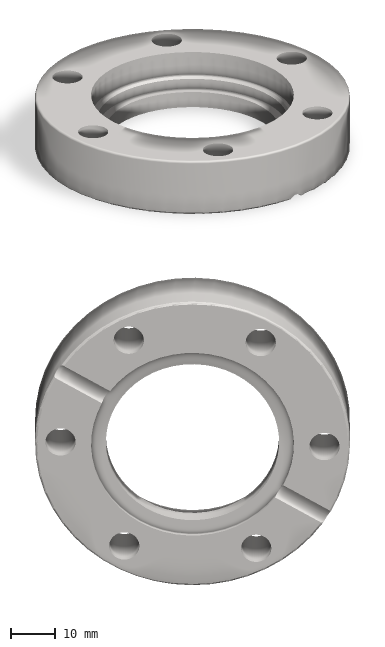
import cadquery as cq

ring_diameter = 70.0
ring_height = 13.0
ring_radius = ring_diameter / 2
edge_radius = 0.5
ring_bore_radius = 22.55

bolt_count = 6
bolt_circle_radius = 29.3
bolt_hole_diameter = 6.7
first_bolt_angle = 90

groove_width = 3.5
groove_depth = 0.9

insert_top = ring_height - 5.45
insert_bottom = 1.05
insert_bore_radius = 19.25
socket_radius = 21.2
socket_depth = 2.8
socket_chamfer = 0.5


def make_ring():
    """Plain ring with rounded outer edges, bolt holes and a groove below."""
    ring = (
        cq.Workplane("XY")
        .circle(ring_radius)
        .extrude(ring_height)
        .edges()
        .fillet(edge_radius)
    )
    bore = cq.Workplane("XY").circle(ring_bore_radius).extrude(ring_height)
    bolt_holes = (
        cq.Workplane("XY")
        .polarArray(bolt_circle_radius, first_bolt_angle, 360, bolt_count)
        .circle(bolt_hole_diameter / 2)
        .extrude(ring_height)
    )
    half_width = groove_width / 2
    groove = (
        cq.Workplane("YZ")
        .moveTo(-half_width, 0)
        .threePointArc((0, groove_depth), (half_width, 0))
        .close()
        .extrude(ring_radius, both=True)
    )
    return ring.cut(bore).cut(bolt_holes).cut(groove)


def make_insert():
    """Stepped sleeve: a chamfered socket above a narrower through bore."""
    socket_floor = insert_top - socket_depth
    profile = [
        (insert_bore_radius, insert_bottom),
        (ring_bore_radius, insert_bottom),
        (ring_bore_radius, insert_top),
        (socket_radius + socket_chamfer, insert_top),
        (socket_radius, insert_top - socket_chamfer),
        (socket_radius, socket_floor),
        (insert_bore_radius, socket_floor),
    ]
    return (
        cq.Workplane("XZ")
        .polyline(profile)
        .close()
        .revolve(360, (0, 0), (0, 1))
    )


ring = make_ring()
insert = make_insert()
result = cq.Compound.makeCompound([ring.val(), insert.val()])